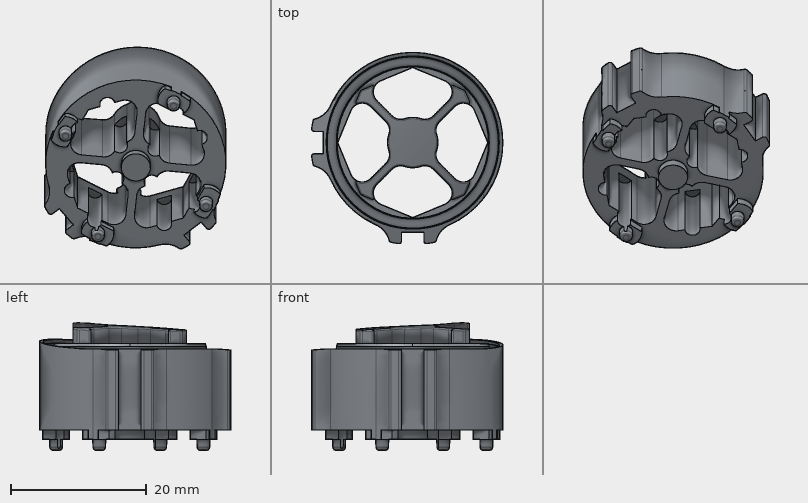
import cadquery as cq
import math

foot_bottom = 1.63
body_bottom = 3.0
recess_top = 13.5
groove_floor = 14.5
ring_taper_start = 15.3
deck_height = 15.73
stock_top = 22.0

body_radius = 13.3
rim_inner_radius = 12.77
lip_inner_radius = 12.62
ring_radius = 11.3
ring_taper = 0.15

lug_angles = (180, 270)
lug_radius = 15.06
lug_flare_radius = 3.4
lug_flare_angle = 24.0
lug_slot_width = 3.26
lug_slot_floor = 13.23
lug_corner_radius = 0.42

dome_radius = 175.0
dome_apex = 15.45
ramp_angle = 57.0
ramp_start = -5.15
ramp_radius = 112.0
ramp_base = 14.88
lip_ramp_radius = 162.0
lip_drop = 0.06

octagon_radius = 11.06
arm_width = 1.27
hub_radius = 3.73
arm_root_fillet = 1.8
arm_tip_fillet = 1.8
arm_tip_margin = 0.1
arm_directions = (45, 135, 225, 315)

spider_inset = 0.17
spider_corner_radius = 0.75
spider_tip_radius = 0.25
spider_tip_zone = 0.5
crown_radius = 140.0
crown_apex = 18.27
crown_heading = 53.0
crown_tilt = 3.05
crown_edge_fillet = 0.2

pin_angles = (67.5, 157.5, 247.5, 337.5)
pin_circle = 11.76
pin_radius = 0.98
pin_tip_radius = 0.92
pin_tip_fillet = 0.5
foot_circle = 11.9
foot_radius = 2.4
foot_outer_limit = 13.2
foot_window_gap = 0.2
foot_tab_width = 1.66
foot_tab_shift = -0.33
hub_foot_radius = 2.15

recess_radius = 1.12
wall_recess_shift = 1.3

half_octant = 22.5
octagon_apothem = octagon_radius * math.cos(math.radians(half_octant))


def cylinder(radius, bottom, top, center=(0, 0)):
    return cq.Workplane("XY", origin=(*center, bottom)).circle(radius).extrude(top - bottom)


def polar(radius, angle):
    return radius * math.cos(math.radians(angle)), radius * math.sin(math.radians(angle))


def about_z(shape, angle):
    return shape.rotate((0, 0, 0), (0, 0, 1), angle)


def octagon_prism(apothem, bottom, top):
    """Regular octagon with corners on the X and Y axes."""
    corner_circle = 2 * apothem / math.cos(math.radians(half_octant))
    return cq.Workplane("XY", origin=(0, 0, bottom)).polygon(8, corner_circle).extrude(top - bottom)


def radial_block(inner, outer, width, bottom, top):
    """Box reaching along +X from inner to outer, centred on the X axis."""
    block = cq.Workplane("XY", origin=((inner + outer) / 2, 0, bottom))
    return block.rect(outer - inner, width).extrude(top - bottom)


def edges_between(shape, inner, outer):
    """Vertical edges whose distance from the Z axis lies between inner and outer."""
    edges = shape.edges("|Z").vals()
    return shape.newObject([e for e in edges if inner < math.hypot(e.Center().x, e.Center().y) < outer])


def lug_slot(bottom, top):
    return radial_block(lug_slot_floor, 2 * lug_radius, lug_slot_width, bottom, top)


def lug_pair(bottom, top):
    """Two lugs flanking a slot, blended into the body by concave flares; built toward +X."""
    pad_width = 2 * body_radius * math.sin(math.radians(lug_flare_angle))
    pad = radial_block(0, 2 * lug_radius, pad_width, bottom, top)
    pad = pad.intersect(cylinder(lug_radius, bottom, top))
    for side in (-1, 1):
        flare_center = polar(body_radius + lug_flare_radius, side * lug_flare_angle)
        pad = pad.cut(cylinder(lug_flare_radius, bottom, top, flare_center))
    pad = pad.cut(lug_slot(bottom, top))
    return edges_between(pad, (body_radius + lug_radius) / 2, 2 * lug_radius).fillet(lug_corner_radius)


def outer_envelope(bottom, top):
    """Round body with both lug pairs, as a plain prism."""
    envelope = cylinder(body_radius, bottom, top)
    for angle in lug_angles:
        envelope = envelope.union(about_z(lug_pair(bottom, top), angle))
    for angle in lug_angles:
        envelope = envelope.cut(about_z(lug_slot(bottom, top), angle))
    return envelope


def rim_top_limit(outer_radius, ramp_bend, drop):
    """Everything below a dome joined to an upward-curving ramp, lowered by drop."""
    dome = cq.Workplane("XY", origin=(0, 0, dome_apex - drop - dome_radius)).sphere(dome_radius)
    dome = dome.intersect(cylinder(2 * lug_radius, 0, stock_top))

    def ramp_point(distance):
        rise = distance - ramp_start
        return distance, ramp_base - drop + ramp_bend - math.sqrt(ramp_bend**2 - rise**2)

    ramp = (
        cq.Workplane("XZ", origin=(0, lug_radius, 0))
        .moveTo(ramp_start, 0)
        .lineTo(*ramp_point(ramp_start))
        .threePointArc(ramp_point((ramp_start + lug_radius) / 2), ramp_point(lug_radius))
        .lineTo(lug_radius, 0)
        .close()
        .extrude(2 * lug_radius)
    )
    return dome.union(about_z(ramp, ramp_angle).intersect(cylinder(outer_radius, 0, stock_top)))


def shell():
    """Outer wall with its sculpted rim, a lower lip inside the rim, and the annular groove."""
    wall = outer_envelope(body_bottom, stock_top).cut(cylinder(rim_inner_radius, groove_floor, stock_top))
    wall = wall.intersect(rim_top_limit(body_radius, ramp_radius, 0))
    lip = cylinder(rim_inner_radius, body_bottom, stock_top)
    lip = lip.intersect(rim_top_limit(rim_inner_radius, lip_ramp_radius, lip_drop))
    lip = lip.cut(cylinder(lip_inner_radius, groove_floor, stock_top))
    return wall.union(lip)


def deck_ring():
    """Raised deck inside the groove, with a slightly tapered upper flank."""
    return (
        cq.Workplane("XZ")
        .moveTo(0, body_bottom)
        .lineTo(ring_radius, body_bottom)
        .lineTo(ring_radius, ring_taper_start)
        .lineTo(ring_radius - ring_taper, deck_height)
        .lineTo(0, deck_height)
        .close()
        .revolve(360, (0, 0, 0), (0, 1, 0))
    )


def window_prisms():
    """The four through openings between the spider arms."""
    windows = octagon_prism(octagon_apothem, 0, stock_top).cut(cylinder(hub_radius, 0, stock_top))
    for angle in arm_directions:
        arm = radial_block(0, 2 * octagon_radius, arm_width, 0, stock_top)
        windows = windows.cut(about_z(arm, angle))
    windows = edges_between(windows, 0, octagon_radius / 2).fillet(arm_root_fillet)
    return edges_between(windows, octagon_radius / 2, octagon_radius - arm_tip_margin).fillet(arm_tip_fillet)


def spider_crown(windows):
    """Spider above the deck, topped by a tilted, gently crowned cylindrical surface."""
    crown = octagon_prism(octagon_apothem - spider_inset, deck_height, stock_top)
    crown = crown.edges("|Z").fillet(spider_corner_radius).cut(windows)
    tip_zone_start = octagon_apothem - spider_tip_zone
    tip_zone_end = octagon_apothem + spider_tip_zone
    crown = edges_between(crown, tip_zone_start, tip_zone_end).fillet(spider_tip_radius)

    tilt_run, tilt_rise = polar(1, crown_tilt)
    axis = cq.Vector(*polar(tilt_run, crown_heading), tilt_rise)
    length = 4 * body_radius
    axis_middle = cq.Vector(0, 0, crown_apex - crown_radius / tilt_run)
    surface = cq.Solid.makeCylinder(crown_radius, length, axis_middle - axis * (length / 2), axis)
    crown = crown.intersect(cq.Workplane(surface))
    return crown.faces(">Z").edges().fillet(crown_edge_fillet)


def foot(angle):
    """Round pad set back from the outer wall, joined to the wall face by a narrow tab."""
    pad = cylinder(foot_radius, foot_bottom, body_bottom, (foot_circle, 0))
    pad = pad.intersect(cylinder(foot_outer_limit, foot_bottom, body_bottom))
    tab = radial_block(foot_circle, lug_radius, foot_tab_width, foot_bottom, body_bottom)
    pad = about_z(pad.union(tab.translate((0, foot_tab_shift, 0))), angle)
    pad = pad.cut(octagon_prism(octagon_apothem + foot_window_gap, foot_bottom, body_bottom))
    return pad.intersect(outer_envelope(foot_bottom, body_bottom))


def pin(angle):
    """Tapered pin with a rounded tip."""
    return (
        cq.Workplane("XZ")
        .lineTo(pin_tip_radius, 0)
        .lineTo(pin_radius, foot_bottom)
        .lineTo(0, foot_bottom)
        .close()
        .revolve(360, (0, 0, 0), (0, 1, 0))
        .faces("<Z")
        .edges()
        .fillet(pin_tip_fillet)
        .translate((*polar(pin_circle, angle), 0))
    )


def bottom_recesses():
    """Blind round recesses in the hub and window walls, three around each X and Y axis direction."""
    shift_angle = math.degrees(math.atan2(wall_recess_shift, octagon_apothem))
    wall_distance = math.hypot(octagon_apothem, wall_recess_shift)
    recesses = cq.Workplane()
    for axis_angle in (0, 90, 180, 270):
        centers = [polar(hub_radius, axis_angle)]
        for side in (-1, 1):
            centers.append(polar(wall_distance, axis_angle + side * (half_octant - shift_angle)))
        for center in centers:
            recesses = recesses.add(cylinder(recess_radius, 0, recess_top, center))
    return recesses.combine()


windows = window_prisms()

result = shell().union(deck_ring())
result = result.union(cylinder(hub_foot_radius, foot_bottom, body_bottom))
for pin_angle in pin_angles:
    result = result.union(foot(pin_angle)).union(pin(pin_angle))
result = result.cut(windows).cut(bottom_recesses())
result = result.union(spider_crown(windows))